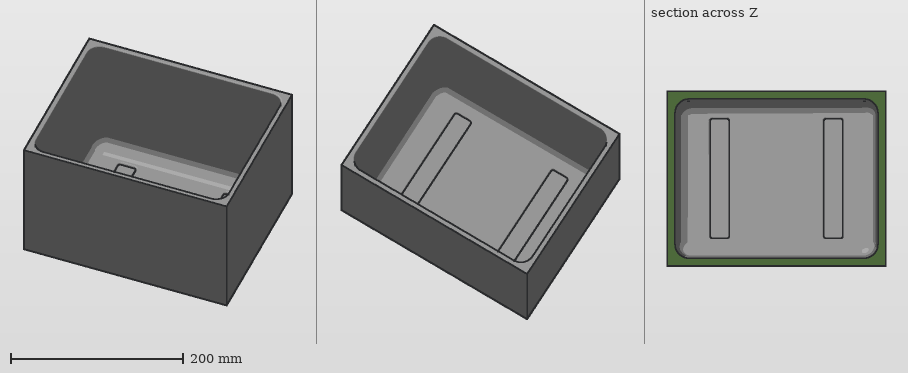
import cadquery as cq

length = 254
width = 203.2
height = 158.8

wall_thickness = 6.4
floor_thickness = 6.4
wall_draft = 2.2
basin_fillet = 16.0
rim_round = 1.5

groove_length = 139.2
groove_width = 22.5
groove_spacing = 132
groove_depth = 3.0
groove_corner_radius = 3.0
groove_round = 1.8


def make_basin():
    """Tapered basin with the same radius on its corners and around its floor."""
    basin = (
        cq.Workplane("XY", origin=(0, 0, height))
        .rect(length - 2 * wall_thickness, width - 2 * wall_thickness)
        .extrude(floor_thickness - height, taper=wall_draft)
    )
    return basin.edges("not >Z").fillet(basin_fillet)


def make_groove(x):
    """Groove along Y with rounded corners and the same draft as the basin."""
    groove = (
        cq.Workplane("XY", origin=(x, 0, floor_thickness))
        .rect(groove_width, groove_length)
        .extrude(-groove_depth, taper=wall_draft)
    )
    return groove.edges("not #Z").fillet(groove_corner_radius)


def round_openings(body, face, radius):
    """Round the edges of every opening inside a flat face of the body."""
    edges = [edge for loop in face.innerWires() for edge in loop.Edges()]
    return body.newObject(edges).fillet(radius)


result = cq.Workplane("XY").box(length, width, height, centered=(True, True, False))
result = result.cut(make_basin())
for side in (-1, 1):
    result = result.cut(make_groove(side * groove_spacing / 2))

rim_face = result.faces(">Z").val()
result = round_openings(result, rim_face, rim_round)

floor_center = cq.selectors.NearestToPointSelector((0, 0, floor_thickness))
floor_face = result.faces(floor_center).val()
result = round_openings(result, floor_face, groove_round)